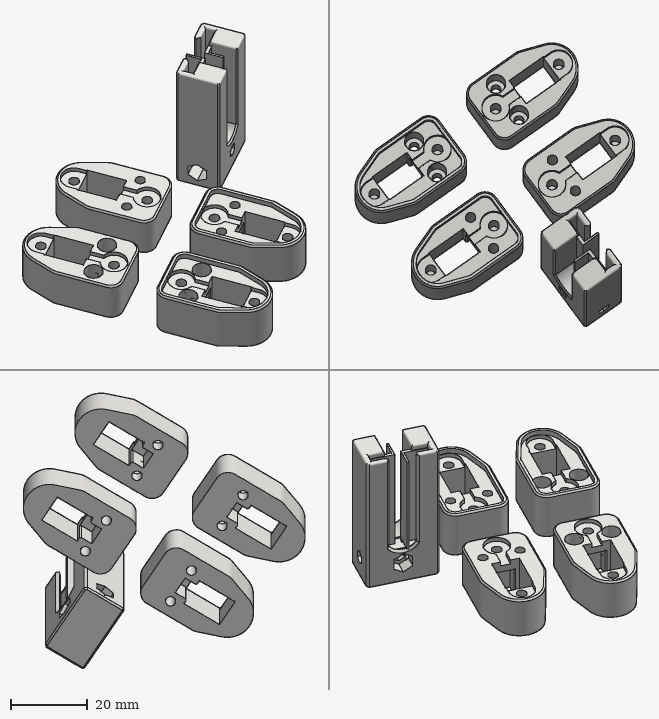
import cadquery as cq
import math

POD_LENGTH = 29.4
POD_WIDTH = 17.8
POD_SPAN = 68.4
POD_PITCH = 25.05
POD_HEIGHT = 11.5
NOSE_RADIUS = 6.8
SHOULDER_X = 11.4
SHOULDER_RADIUS = 4.5
RIMMED_SHOULDER_RADIUS = 3.45
REAR_RADIUS = 3.45
POD_CHAMFER = 0.5
MARGIN = 0.7

RIM_HEIGHT = 1.6
RIM_WIDTH = 1.25

WINDOW_START = 6.8
WINDOW_END = 17.75
WINDOW_HALF_WIDTH = 3.8
SCREW_XS = (4.6, 24.85)
SCREW_RADIUS = 1.4
SCREW_DEPTH = 6.9
RECESS_RADIUS = 3.6
RECESS_DEPTH = 1.25
CHANNEL_HALF_WIDTH = 1.4
BOLT_X = 21.1
BOLT_Y = 5.1
BOLT_RADIUS = 1.3
COUNTERBORE_RADIUS = 2.5
COUNTERBORE_DEPTH = 6.9
CABLE_HALF_WIDTH = 2.4
CABLE_HEIGHT = 8.25
CABLE_END = 21.35
CABLE_MOUTH_CHAMFER = 0.35

POST_THICKNESS = 12.2
POST_WIDTH = 20.05
POST_HEIGHT = 40.0
POST_FRONT_X = -6.95
POST_BACK_Y = 47.4
POST_TOP_Z = 44.05
POST_CHAMFER = 0.5
POST_FRONT_CHAMFER = 0.7
TOP_ROUND = 0.55

SLOT_HALF_WIDTH = 3.7
SLOT_BOTTOM = 10.1
SLOT_BOTTOM_RADIUS = 4.7
FRONT_FLARE = 0.7
POCKET_START = 1.7
POCKET_END = 4.3
POCKET_HALF_WIDTH = 8.1
CHAMBER_FLOOR = 9.7
CHAMBER_END = 6.0
CHAMBER_NARROW_HALF_WIDTH = 2.2
CHAMBER_WALL_ANGLE = 18.0

PLATE_FRONT = 4.05
PLATE_THICKNESS = 0.95
PLATE_TOP = 38.55
GAP_HALF_WIDTH = 0.95
FLANGE_THICKNESS = 0.55
FLANGE_REACH = 4.2
FLANGE_BOTTOM = 10.4

NUT_RADIUS = 2.95
HEX_HOLE_RADIUS = 1.825
HEX_HOLE_Z = 6.1
SIDE_NUT_Z = 5.15
FRONT_NUT_DEPTH = 3.6
SIDE_NUT_DEPTH = 8.05

POST_BOTTOM_Z = POST_TOP_Z - POST_HEIGHT
POST_CENTRE_Y = POST_BACK_Y - POST_WIDTH / 2
POST_CENTRE_X = POST_THICKNESS / 2


def box(x_range, y_range, z_range):
    """Axis-aligned block between pairs of limits."""
    (x0, x1), (y0, y1), (z0, z1) = x_range, y_range, z_range
    return cq.Workplane("XY").box(x1 - x0, y1 - y0, z1 - z0, centered=False).translate((x0, y0, z0))


def cylinder(x, y, radius, top, depth):
    """Upright cylinder that goes down from a level."""
    return cq.Workplane("XY", origin=(x, y, top - depth)).circle(radius).extrude(depth)


def pod_block(height, shoulder_radius):
    """Block with a round nose at X = 0, tapered cheeks and rounded rear corners."""
    half = POD_WIDTH / 2
    run = SHOULDER_X - NOSE_RADIUS
    contact = math.atan2(half, run) + math.acos(NOSE_RADIUS / math.hypot(run, half))
    nose_x = NOSE_RADIUS + NOSE_RADIUS * math.cos(contact)
    nose_y = NOSE_RADIUS * math.sin(contact)
    block = (
        cq.Workplane("XY")
        .moveTo(POD_LENGTH, -half)
        .lineTo(POD_LENGTH, half)
        .lineTo(SHOULDER_X, half)
        .lineTo(nose_x, nose_y)
        .threePointArc((0, 0), (nose_x, -nose_y))
        .lineTo(SHOULDER_X, -half)
        .close()
        .extrude(height)
    )
    block = block.edges("|Z and >X").fillet(REAR_RADIUS)
    shoulders = cq.selectors.BoxSelector(
        (SHOULDER_X - MARGIN, -POD_WIDTH, -MARGIN), (SHOULDER_X + MARGIN, POD_WIDTH, height + MARGIN)
    )
    return block.edges("|Z").edges(shoulders).fillet(shoulder_radius)


def deck_recesses():
    """Shallow recesses around the two screws, and the channel to the window."""
    floor = POD_HEIGHT - RECESS_DEPTH
    levels = (floor, POD_HEIGHT)
    nose_screw, rear_screw = SCREW_XS
    recess = box((nose_screw, WINDOW_END), (-RECESS_RADIUS, RECESS_RADIUS), levels)
    recess = recess.union(box((WINDOW_START, rear_screw), (-CHANNEL_HALF_WIDTH, CHANNEL_HALF_WIDTH), levels))
    for x in SCREW_XS:
        recess = recess.union(cylinder(x, 0, RECESS_RADIUS, POD_HEIGHT, RECESS_DEPTH))
    return recess


def cable_passage():
    """Passage from the window toward the rear, open below, with bevelled mouth edges."""
    passage = box(
        (WINDOW_END, CABLE_END), (-CABLE_HALF_WIDTH, CABLE_HALF_WIDTH), (0, CABLE_HEIGHT)
    )
    mouth = CABLE_HALF_WIDTH + CABLE_MOUTH_CHAMFER
    flare = (
        cq.Workplane("XY")
        .polyline(
            [
                (WINDOW_END, -mouth),
                (WINDOW_END, mouth),
                (WINDOW_END + CABLE_MOUTH_CHAMFER, CABLE_HALF_WIDTH),
                (WINDOW_END + CABLE_MOUTH_CHAMFER, -CABLE_HALF_WIDTH),
            ]
        )
        .close()
        .extrude(CABLE_HEIGHT)
    )
    return passage.union(flare)


def make_pod(rimmed, counterbored):
    """One pod with its nose tip at the origin, pointing toward -X."""
    height = POD_HEIGHT + RIM_HEIGHT if rimmed else POD_HEIGHT
    block = pod_block(height, RIMMED_SHOULDER_RADIUS if rimmed else SHOULDER_RADIUS)
    pod = block.faces(">Z").edges().chamfer(POD_CHAMFER)
    if rimmed:
        well = block.faces(">Z").wires().toPending().offset2D(-RIM_WIDTH)
        pod = pod.cut(well.extrude(-RIM_HEIGHT, combine=False))
    pod = pod.cut(
        box((WINDOW_START, WINDOW_END), (-WINDOW_HALF_WIDTH, WINDOW_HALF_WIDTH), (0, height))
    )
    pod = pod.cut(deck_recesses())
    pod = pod.cut(cable_passage())
    for x in SCREW_XS:
        pod = pod.cut(cylinder(x, 0, SCREW_RADIUS, POD_HEIGHT - RECESS_DEPTH, SCREW_DEPTH))
    for y in (-BOLT_Y, BOLT_Y):
        pod = pod.cut(cylinder(BOLT_X, y, BOLT_RADIUS, POD_HEIGHT, POD_HEIGHT))
        if counterbored:
            pod = pod.cut(cylinder(BOLT_X, y, COUNTERBORE_RADIUS, POD_HEIGHT, COUNTERBORE_DEPTH))
    return pod


def place_pod(pod, side, row):
    """Move a pod to its corner; the +X side is turned to point its nose outward."""
    if side > 0:
        pod = pod.rotate((0, 0, 0), (0, 0, 1), 180)
    return pod.translate((side * POD_SPAN / 2, row * POD_PITCH / 2, 0))


def slot_profile(x, margin):
    """Cross-section of the slot, open at the top with an arched bottom, widened by a margin."""
    half = SLOT_HALF_WIDTH + margin
    radius = SLOT_BOTTOM_RADIUS + margin
    centre_z = SLOT_BOTTOM + SLOT_BOTTOM_RADIUS
    corner_z = centre_z - math.sqrt(radius**2 - half**2)
    return (
        cq.Workplane("YZ", origin=(x, 0, 0))
        .moveTo(-half, POST_HEIGHT)
        .lineTo(-half, corner_z)
        .threePointArc((0, centre_z - radius), (half, corner_z))
        .lineTo(half, POST_HEIGHT)
        .close()
    )


def slot_flare(x_wide, x_narrow, margin):
    """Bevel around the slot, from a widened profile down to the plain one."""
    wide = slot_profile(x_wide, margin).wires().vals()[0]
    narrow = slot_profile(x_narrow, 0).wires().vals()[0]
    return cq.Workplane(cq.Solid.makeLoft([wide, narrow], True))


def slot_flares():
    """Bevels of the slot on both sides of the -X wall and at the +X face."""
    outer = slot_flare(0, FRONT_FLARE, FRONT_FLARE)
    inner = slot_flare(POCKET_START, FRONT_FLARE, POCKET_START - FRONT_FLARE)
    far = slot_flare(POST_THICKNESS, POST_THICKNESS - POST_CHAMFER, POST_CHAMFER)
    return outer.union(inner).union(far)


def post_chamber():
    """Pocket behind the -X wall and the space behind the plates, with sloping lower corners."""
    heights = (CHAMBER_FLOOR, POST_HEIGHT)
    pocket = box((POCKET_START, POCKET_END), (-POCKET_HALF_WIDTH, POCKET_HALF_WIDTH), heights)
    space = box((POCKET_START, CHAMBER_END), (-SLOT_HALF_WIDTH, SLOT_HALF_WIDTH), heights)
    funnel = (
        cq.Workplane("XY", origin=(0, 0, CHAMBER_FLOOR))
        .polyline(
            [
                (POCKET_START, -POCKET_HALF_WIDTH),
                (CHAMBER_END, -CHAMBER_NARROW_HALF_WIDTH),
                (CHAMBER_END, CHAMBER_NARROW_HALF_WIDTH),
                (POCKET_START, POCKET_HALF_WIDTH),
            ]
        )
        .close()
        .extrude(POST_HEIGHT - CHAMBER_FLOOR, taper=-CHAMBER_WALL_ANGLE)
    )
    return pocket.union(space).intersect(funnel)


NORMALS = {"YZ": (1, 0, 0), "XZ": (0, -0.7, 0)}


def hexagon_prism(plane, origin, radius, length):
    """Hexagonal prism with a corner at the top, extruded along the plane's normal."""
    return (
        cq.Workplane(plane, origin=origin)
        .polygon(6, 2 * radius)
        .extrude(length)
        .rotate(origin, tuple(o + d for o, d in zip(origin, NORMALS[plane])), 90)
    )


def post_screw_holes():
    """Hexagonal screw holes along X and Y, each with a wider nut pocket at its near end."""
    edge = -POST_WIDTH / 2
    along_x = hexagon_prism("YZ", (0, 0, HEX_HOLE_Z), HEX_HOLE_RADIUS, POST_THICKNESS)
    front_nut = hexagon_prism("YZ", (0, 0, HEX_HOLE_Z), NUT_RADIUS, FRONT_NUT_DEPTH)
    along_y = hexagon_prism("XZ", (POST_CENTRE_X, -edge, HEX_HOLE_Z), HEX_HOLE_RADIUS, POST_WIDTH)
    side_nut = hexagon_prism(
        "XZ", (POST_CENTRE_X, edge + SIDE_NUT_DEPTH, SIDE_NUT_Z), NUT_RADIUS, SIDE_NUT_DEPTH
    )
    return along_x.union(front_nut).union(along_y).union(side_nut)


def plate_recess():
    """Recess behind the pocket that holds both guide plates."""
    return box(
        (PLATE_FRONT, PLATE_FRONT + PLATE_THICKNESS),
        (-POCKET_HALF_WIDTH, POCKET_HALF_WIDTH),
        (CHAMBER_FLOOR, PLATE_TOP),
    )


def make_post():
    """Slotted block with its -X face at X = 0, centred on Y = 0 and standing on Z = 0."""
    half = POST_WIDTH / 2
    slot = slot_profile(0, 0).extrude(POST_THICKNESS)
    post = box((0, POST_THICKNESS), (-half, half), (0, POST_HEIGHT))
    post = post.faces("<X").edges("|Z").chamfer(POST_FRONT_CHAMFER)
    post = post.faces(">X").edges("|Z").chamfer(POST_CHAMFER)
    post = post.faces("<Z").edges().chamfer(POST_CHAMFER)
    post = post.cut(slot).cut(post_chamber())
    post = post.faces(">Z").edges().fillet(TOP_ROUND)
    post = post.cut(slot_flares())
    return post.cut(plate_recess()).cut(post_screw_holes())


def make_plate():
    """Plate on the +Y side of the gap, with its flange along the gap toward +X."""
    back = PLATE_FRONT + PLATE_THICKNESS
    web = box((PLATE_FRONT, back), (GAP_HALF_WIDTH, POCKET_HALF_WIDTH), (CHAMBER_FLOOR, PLATE_TOP))
    flange = box(
        (PLATE_FRONT, back + FLANGE_REACH),
        (GAP_HALF_WIDTH, GAP_HALF_WIDTH + FLANGE_THICKNESS),
        (FLANGE_BOTTOM, PLATE_TOP),
    )
    return web.union(flange)


def place_in_post(body):
    """Move a body from the post's own axes to its place in the set."""
    return body.translate((POST_FRONT_X, POST_CENTRE_Y, POST_BOTTOM_Z))


pods = []
for side in (-1, 1):
    for row in (-1, 1):
        pod = make_pod(rimmed=side > 0, counterbored=row < 0)
        pods.append(place_pod(pod, side, row).val())

post = place_in_post(make_post())

plates = []
plate_axis_x = PLATE_FRONT + PLATE_THICKNESS / 2
for turn in (0, 180):
    plate = make_plate().rotate((plate_axis_x, 0, 0), (plate_axis_x, 0, 1), turn)
    plates.append(place_in_post(plate).val())

result = cq.Compound.makeCompound([*pods, post.val(), *plates])